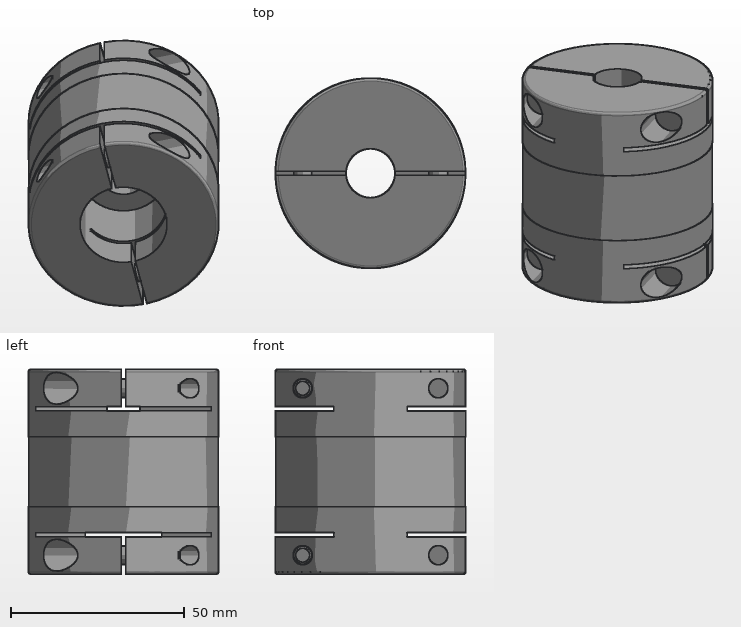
import cadquery as cq

outer_diameter = 54.8
sleeve_diameter = 54.6
length = 59.0
hub_length = 19.5
edge_fillet = 0.8

upper_bore_diameter = 14.0
lower_bore_diameter = 25.0

collar_length = 10.8
saw_cut_width = 1.2
saw_radius = 60.0
saw_web_half_width = 5.0

screw_offset = 19.5
screw_inset = 5.5
screw_hole_diameter = 5.5
screw_diameter = 5.2
screw_tip_diameter = 4.0
screw_tip_length = 0.6
screw_end_y = -15.7
head_hole_diameter = 9.1
head_seat_y = 10.0

outer_radius = outer_diameter / 2
SIDES = (-1, 1)


def cylinder_along_y(x, z, diameter, y_start, y_end):
    """Cylinder parallel to Y between two Y positions."""
    base = cq.Vector(x, y_start, z)
    return cq.Workplane(cq.Solid.makeCylinder(diameter / 2, y_end - y_start, base, cq.Vector(0, 1, 0)))


def make_body():
    """Round body with rounded end rims and a slightly slimmer sleeve between the two hubs."""
    body = cq.Workplane("XY").circle(outer_radius).extrude(length)
    body = body.faces("<Z or >Z").edges().fillet(edge_fillet)
    sleeve_length = length - 2 * hub_length
    hub_face = cq.Workplane("XY").workplane(offset=hub_length)
    sleeve_relief = hub_face.circle(outer_radius).circle(sleeve_diameter / 2).extrude(sleeve_length)
    return body.cut(sleeve_relief)


def cut_bores(body):
    """Small bore in the upper half and large bore in the lower half."""
    middle = cq.Workplane("XY").workplane(offset=length / 2)
    upper_bore = middle.circle(upper_bore_diameter / 2).extrude(length / 2)
    lower_bore = middle.circle(lower_bore_diameter / 2).extrude(-length / 2)
    return body.cut(upper_bore).cut(lower_bore)


def cut_collar_slots(body, slot_z, collar_z):
    """Two saw cuts that undercut a collar from its sides, and the split of the collar into two jaws."""
    saw_x = saw_web_half_width + saw_radius
    saw_centers = [(side * saw_x, 0) for side in SIDES]
    saw_plane = cq.Workplane("XY").workplane(offset=slot_z)
    saw_cuts = saw_plane.pushPoints(saw_centers).circle(saw_radius).extrude(saw_cut_width)
    split = (
        cq.Workplane("XY")
        .workplane(offset=collar_z)
        .rect(outer_diameter, saw_cut_width)
        .extrude(collar_length)
    )
    return body.cut(saw_cuts).cut(split)


def add_clamp_screw(body, x, z, chamfered_tip):
    """Screw across the split, sunk in a head hole on +Y and a plain hole on -Y."""
    head_hole = cylinder_along_y(x, z, head_hole_diameter, head_seat_y, outer_radius)
    tip_hole = cylinder_along_y(x, z, screw_hole_diameter, -outer_radius, screw_end_y)
    diameter = screw_diameter if chamfered_tip else screw_hole_diameter
    shank = cylinder_along_y(x, z, diameter, screw_end_y, head_seat_y)
    body = body.cut(head_hole).cut(tip_hole).union(shank)
    if chamfered_tip:
        tip = cq.Solid.makeCone(
            screw_diameter / 2,
            screw_tip_diameter / 2,
            screw_tip_length,
            cq.Vector(x, screw_end_y, z),
            cq.Vector(0, -1, 0),
        )
        body = body.union(cq.Workplane(tip))
    return body


result = cut_bores(make_body())
result = cut_collar_slots(result, collar_length, 0)
result = cut_collar_slots(result, length - collar_length - saw_cut_width, length - collar_length)
for screw_z in (screw_inset, length - screw_inset):
    result = add_clamp_screw(result, -screw_offset, screw_z, True)
    result = add_clamp_screw(result, screw_offset, screw_z, False)